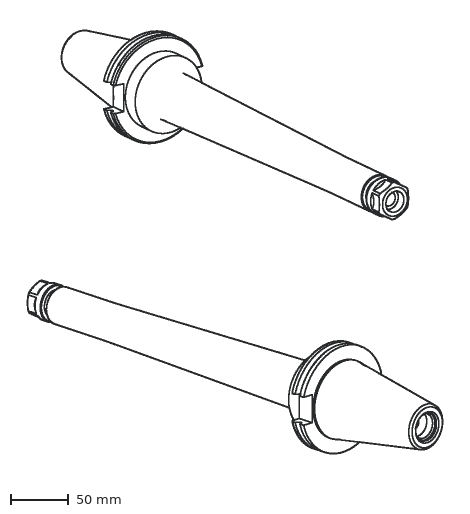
import cadquery as cq
import math

TOTAL_LENGTH = 482.5
OVERLAP = 5.0

TAPER_LENGTH = 102.0
GAUGE_DIAMETER = 70.0
TAPER_RATE = 7 / 24
TAPER_END_DIAMETER = GAUGE_DIAMETER - TAPER_RATE * TAPER_LENGTH
TAPER_END_CHAMFER = 2.0
SHOULDER_DIAMETER = 71.0
SHOULDER_START = TAPER_LENGTH + 1.5

FLANGE_START = 105.0
FLANGE_WIDTH = 16.0
FLANGE_END = FLANGE_START + FLANGE_WIDTH
FLANGE_DIAMETER = 97.0
FLANGE_CHAMFER = 1.5
GROOVE_CENTER = 113.0
GROOVE_DEPTH = 4.0
GROOVE_FLOOR_WIDTH = 1.5
GROOVE_HALF_ANGLE = math.radians(30)
SLOT_WIDTH = 25.5
SLOT_FLOOR_DISTANCE = 36.5

COLLAR_DIAMETER = 70.0
COLLAR_END = 136.0
SHANK_FILLET = 5.5
SHANK_START = COLLAR_END + SHANK_FILLET
SHANK_START_DIAMETER = 44.5
SHANK_TAPER_END = 395.5
SHANK_DIAMETER = 34.0
SHANK_END = 456.5
SHANK_END_CHAMFER = 0.7
NECK_DIAMETER = 25.0
NECK_END = 474.0

BORE_MOUTH_DIAMETER = 28.0
PILOT_DIAMETER = 25.0
PILOT_DEPTH = 3.5
THREAD_BORE_DIAMETER = 22.0
THREAD_BORE_DEPTH = 12.0
THROUGH_DIAMETER = 12.5

NUT_START = 463.0
NUT_DIAMETER = SHANK_DIAMETER
NUT_BACK_CHAMFER = 0.7
NUT_RIM_END = 470.0
RUNOUT_LENGTH = 2.5
HEX_ACROSS_FLATS = 30.5
NUT_FACE_DIAMETER = 26.0
NUT_FACE_CHAMFER = 2.5
NUT_HOLE_DIAMETER = 19.0


def revolve_about_x(profile):
    """Turn a closed (x, radius) profile into a solid about the X axis."""
    return profile.close().revolve(360, (0, 0, 0), (1, 0, 0))


def turned_points(points):
    """Turn a closed outline of (x, radius) corner points about the X axis."""
    return revolve_about_x(cq.Workplane("XY").polyline(points))


def holder_blank():
    chamfer_radius = TAPER_END_DIAMETER / 2 - TAPER_END_CHAMFER
    chamfer_end_radius = TAPER_END_DIAMETER / 2 + TAPER_RATE * TAPER_END_CHAMFER / 2
    gauge_radius = GAUGE_DIAMETER / 2
    flange_radius = FLANGE_DIAMETER / 2
    shank_start_radius = SHANK_START_DIAMETER / 2
    shank_radius = SHANK_DIAMETER / 2
    fillet_mid = SHANK_FILLET * (1 - math.sqrt(0.5))
    profile = (
        cq.Workplane("XY")
        .moveTo(0, 0)
        .lineTo(0, chamfer_radius)
        .lineTo(TAPER_END_CHAMFER, chamfer_end_radius)
        .lineTo(TAPER_LENGTH, gauge_radius)
        .lineTo(SHOULDER_START, SHOULDER_DIAMETER / 2)
        .lineTo(FLANGE_START, SHOULDER_DIAMETER / 2)
        .lineTo(FLANGE_START, flange_radius)
        .lineTo(FLANGE_END - FLANGE_CHAMFER, flange_radius)
        .lineTo(FLANGE_END, flange_radius - FLANGE_CHAMFER)
        .lineTo(FLANGE_END, COLLAR_DIAMETER / 2)
        .lineTo(COLLAR_END, COLLAR_DIAMETER / 2)
        .lineTo(COLLAR_END, shank_start_radius + SHANK_FILLET)
        .threePointArc(
            (COLLAR_END + fillet_mid, shank_start_radius + fillet_mid),
            (SHANK_START, shank_start_radius),
        )
        .lineTo(SHANK_TAPER_END, shank_radius)
        .lineTo(SHANK_END - SHANK_END_CHAMFER, shank_radius)
        .lineTo(SHANK_END, shank_radius - SHANK_END_CHAMFER)
        .lineTo(SHANK_END, NECK_DIAMETER / 2)
        .lineTo(NECK_END, NECK_DIAMETER / 2)
        .lineTo(NECK_END, 0)
    )
    return revolve_about_x(profile)


def gripper_groove():
    floor_radius = FLANGE_DIAMETER / 2 - GROOVE_DEPTH
    top_radius = FLANGE_DIAMETER / 2 + OVERLAP
    floor_half = GROOVE_FLOOR_WIDTH / 2
    top_half = floor_half + (top_radius - floor_radius) * math.tan(GROOVE_HALF_ANGLE)
    return turned_points([
        (GROOVE_CENTER - floor_half, floor_radius),
        (GROOVE_CENTER + floor_half, floor_radius),
        (GROOVE_CENTER + top_half, top_radius),
        (GROOVE_CENTER - top_half, top_radius),
    ])


def drive_slot(side):
    """One slot through the flange on the +Y (side = 1) or -Y (side = -1) side."""
    slot_depth = FLANGE_DIAMETER / 2 + OVERLAP - SLOT_FLOOR_DISTANCE
    center = (FLANGE_START + FLANGE_WIDTH / 2, side * (SLOT_FLOOR_DISTANCE + slot_depth / 2), 0)
    return cq.Workplane("XY").box(FLANGE_WIDTH, slot_depth, SLOT_WIDTH).translate(center)


def holder_bore():
    mouth_radius = BORE_MOUTH_DIAMETER / 2
    pilot_radius = PILOT_DIAMETER / 2
    thread_radius = THREAD_BORE_DIAMETER / 2
    through_radius = THROUGH_DIAMETER / 2
    return turned_points([
        (0, 0),
        (0, mouth_radius),
        (mouth_radius - pilot_radius, pilot_radius),
        (PILOT_DEPTH, pilot_radius),
        (PILOT_DEPTH + pilot_radius - thread_radius, thread_radius),
        (THREAD_BORE_DEPTH, thread_radius),
        (THREAD_BORE_DEPTH + thread_radius - through_radius, through_radius),
        (NECK_END, through_radius),
        (NECK_END, 0),
    ])


def make_holder():
    body = holder_blank().cut(gripper_groove()).cut(holder_bore())
    for side in (-1, 1):
        body = body.cut(drive_slot(side))
    return body


def nut_rim():
    """Round rim whose front cone runs out below the hexagon flats."""
    rim_radius = NUT_DIAMETER / 2
    runout_radius = HEX_ACROSS_FLATS / 2
    return turned_points([
        (NUT_START, 0),
        (NUT_START, rim_radius - NUT_BACK_CHAMFER),
        (NUT_START + NUT_BACK_CHAMFER, rim_radius),
        (NUT_RIM_END, rim_radius),
        (NUT_RIM_END + RUNOUT_LENGTH, runout_radius),
        (NUT_RIM_END + RUNOUT_LENGTH, 0),
    ])


def nut_hexagon():
    """Hexagon with flats facing +Y and -Y, its corners turned down and its front edge coned."""
    corner_diameter = HEX_ACROSS_FLATS / math.cos(math.pi / 6)
    hexagon = (
        cq.Workplane("YZ", origin=(NUT_RIM_END, 0, 0))
        .polygon(6, corner_diameter)
        .extrude(TOTAL_LENGTH - NUT_RIM_END)
        .rotate((0, 0, 0), (1, 0, 0), 30)
    )
    envelope = turned_points([
        (NUT_RIM_END, 0),
        (NUT_RIM_END, NUT_DIAMETER / 2),
        (TOTAL_LENGTH - NUT_FACE_CHAMFER, NUT_DIAMETER / 2),
        (TOTAL_LENGTH, NUT_FACE_DIAMETER / 2),
        (TOTAL_LENGTH, 0),
    ])
    return hexagon.intersect(envelope)


def nut_bore():
    """Recess that receives the holder's neck, and the smaller hole through the front wall."""
    return turned_points([
        (NUT_START, 0),
        (NUT_START, NECK_DIAMETER / 2),
        (NECK_END, NECK_DIAMETER / 2),
        (NECK_END, NUT_HOLE_DIAMETER / 2),
        (TOTAL_LENGTH, NUT_HOLE_DIAMETER / 2),
        (TOTAL_LENGTH, 0),
    ])


def make_nut():
    return nut_rim().union(nut_hexagon()).cut(nut_bore())


holder = make_holder()
nut = make_nut()

result = cq.Compound.makeCompound([holder.val(), nut.val()])